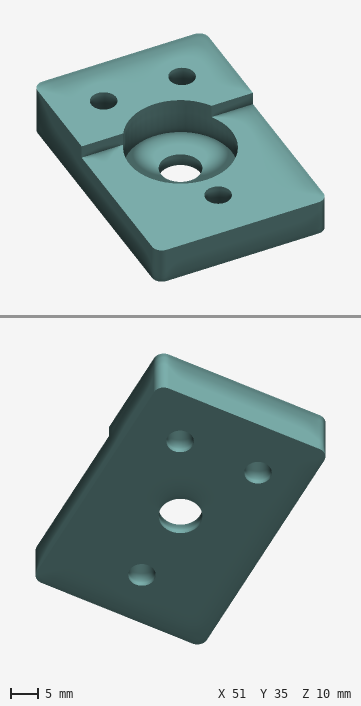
import cadquery as cq

length = 51.0
width = 35.0
height = 10.0
corner_radius = 2.0

raised_length = 20.1
lower_height = 7.35

bore_diameter = 8.0
counterbore_diameter = 21.0
counterbore_floor = 2.5

mount_diameter = 5.05
mount_x = 15.45
mount_y = 8.0
mount_points = [(-mount_x, -mount_y), (-mount_x, mount_y), (mount_x, 0)]


def rounded_block():
    block = cq.Workplane("XY").box(length, width, height, centered=(True, True, False))
    return block.edges("|Z").fillet(corner_radius)


def step_cut():
    """Material removed above the lowered part of the top."""
    return (
        cq.Workplane("XY")
        .box(length - raised_length, width, height - lower_height, centered=(False, True, False))
        .translate((raised_length - length / 2, 0, lower_height))
    )


def upward_cylinders(points, diameter, floor=0):
    """Cylinders from the floor level up to the top of the block."""
    plane = cq.Workplane("XY").workplane(offset=floor)
    return plane.pushPoints(points).circle(diameter / 2).extrude(height - floor)


center = [(0, 0)]
result = (
    rounded_block()
    .cut(step_cut())
    .cut(upward_cylinders(center, bore_diameter))
    .cut(upward_cylinders(center, counterbore_diameter, counterbore_floor))
    .cut(upward_cylinders(mount_points, mount_diameter))
)